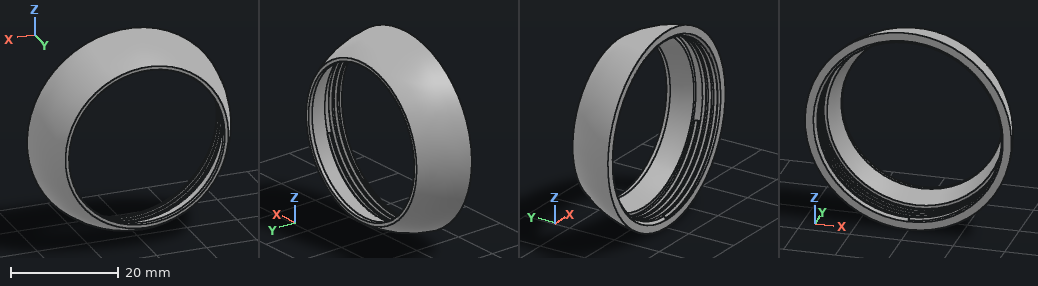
import cadquery as cq

ring_depth = 10.3
open_face_radius = 20.0
small_face_radius = 16.33
dome_mid_radius = 18.88

thread_minor_radius = 17.78
socket_depth = 5.15
entry_chamfer = 0.58
entry_radius = thread_minor_radius + entry_chamfer

shoulder_radius = 17.13
bore_radius = 15.6
lip_length = 0.85

thread_pitch = 1.25
thread_turns = 3.2
thread_start_depth = 0.45
thread_depth = 0.68
groove_mouth_width = 0.8
groove_root_width = thread_pitch / 8
mouth_overlap = 0.05

ring_plane = cq.Plane(origin=(0, 0, 0), xDir=(0, 0, -1), normal=(0, 1, 0))


def ring_body():
    """Revolve the wall section, drawn as (radius, depth), about the local Z axis."""
    return (
        cq.Workplane("XZ")
        .moveTo(entry_radius, 0)
        .lineTo(open_face_radius, 0)
        .threePointArc((dome_mid_radius, ring_depth / 2), (small_face_radius, ring_depth))
        .lineTo(bore_radius, ring_depth)
        .lineTo(bore_radius, ring_depth - lip_length)
        .lineTo(shoulder_radius, socket_depth)
        .lineTo(thread_minor_radius, socket_depth)
        .lineTo(thread_minor_radius, entry_chamfer)
        .close()
        .revolve(360, (0, 0, 0), (0, 1, 0))
    )


def thread_groove():
    """Sweep the thread section along a left-handed helix about the local Z axis."""
    inner_radius = thread_minor_radius - mouth_overlap
    root_radius = thread_minor_radius + thread_depth
    flank_slope = (groove_mouth_width - groove_root_width) / 2 / thread_depth
    half_root = groove_root_width / 2
    half_inner = groove_mouth_width / 2 + mouth_overlap * flank_slope
    helix = cq.Wire.makeHelix(
        thread_pitch, thread_pitch * thread_turns, thread_minor_radius, lefthand=True
    )
    return (
        cq.Workplane("XZ")
        .moveTo(inner_radius, -half_inner)
        .lineTo(root_radius, -half_root)
        .lineTo(root_radius, half_root)
        .lineTo(inner_radius, half_inner)
        .close()
        .sweep(cq.Workplane(helix), isFrenet=True)
        .translate((0, 0, thread_start_depth))
    )


threaded_ring = ring_body().cut(thread_groove())
result = cq.Workplane(threaded_ring.solids().val().moved(cq.Location(ring_plane)))